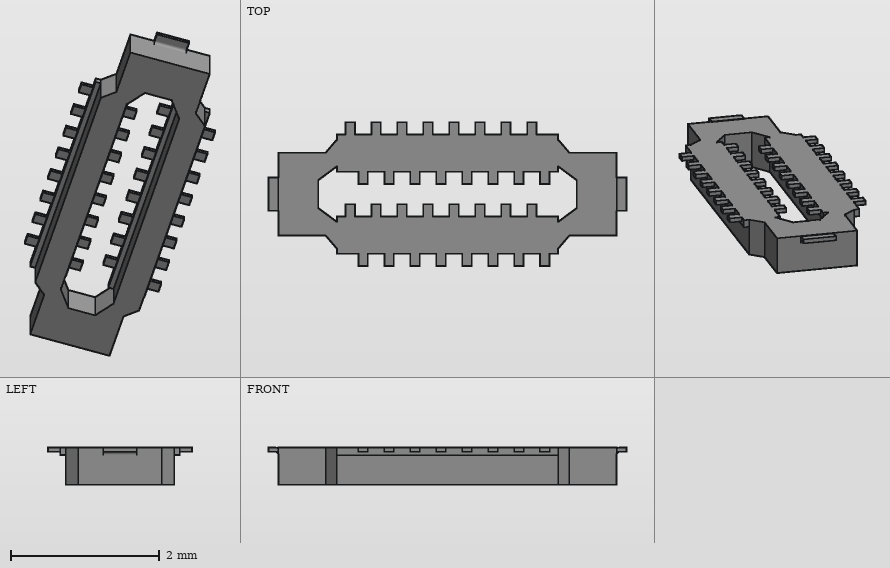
import cadquery as cq
import math

length = 4.83
width = 1.94
height = 0.5

body_half_x = 2.28
end_half_y = 0.56
shoulder_start_x = 1.64
middle_half_x = 1.492
middle_half_y = 0.735

opening_half_x = 1.74
opening_end_half_y = 0.19
opening_half_y = 0.37

strip_overhang = 0.072
strip_thickness = 0.1
strip_inner_y = opening_half_y - strip_overhang
strip_outer_y = middle_half_y + strip_overhang

pins_per_row = 8
pin_row_span = 2.45
pin_pitch = pin_row_span / (pins_per_row - 1)
pin_width = 0.13
pin_thickness = 0.06
pin_reach = width / 2 - strip_outer_y
row_offset = pin_pitch / 4

tab_half_width = 0.225
tab_thickness = 0.06
tab_inner_radius = 0.04
tab_outer_radius = tab_inner_radius + tab_thickness
tab_bend_x = body_half_x + tab_inner_radius
tab_bend_z = height - tab_outer_radius


def symmetric_prism(corner):
    """Full-height prism whose outline mirrors the +X +Y corner points about both axes."""
    upper = corner + [(-x, y) for x, y in reversed(corner)]
    outline = upper + [(x, -y) for x, y in reversed(upper)]
    return cq.Workplane("XY").polyline(outline).close().extrude(height)


def top_plate(x_center, y_center, size_x, size_y, thickness):
    """Rectangular plate with its upper side flush with the top face."""
    plate = cq.Workplane("XY").box(size_x, size_y, thickness)
    return plate.translate((x_center, y_center, height - thickness / 2))


def make_housing():
    outside = symmetric_prism([
        (body_half_x, end_half_y),
        (shoulder_start_x, end_half_y),
        (middle_half_x, middle_half_y),
    ])
    opening = symmetric_prism([
        (opening_half_x, opening_end_half_y),
        (middle_half_x, opening_half_y),
    ])
    return outside.cut(opening)


def add_pin_row(strip, edge_y, direction):
    """Add pins that point along +Y (direction = 1) or -Y (direction = -1) from a strip edge."""
    first_x = -direction * row_offset - pin_row_span / 2
    pin_y = edge_y + direction * pin_reach / 2
    for i in range(pins_per_row):
        pin_x = first_x + i * pin_pitch
        strip = strip.union(top_plate(pin_x, pin_y, pin_width, pin_reach, pin_thickness))
    return strip


def make_strip(side):
    """Strip with its pins on the +Y (side = 1) or -Y (side = -1) wall."""
    center_y = side * (strip_inner_y + strip_outer_y) / 2
    strip_width = strip_outer_y - strip_inner_y
    strip = top_plate(0, center_y, 2 * middle_half_x, strip_width, strip_thickness)
    for direction in (1, -1):
        strip = add_pin_row(strip, center_y + direction * strip_width / 2, direction)
    return strip


def bend_point(radius, x):
    """XZ point at the given x on the upper half of a bend arc."""
    return x, tab_bend_z + math.sqrt(radius**2 - (tab_bend_x - x)**2)


def make_tab():
    """Solder tab on the +X end face, drawn as an XZ profile and extruded across its width."""
    tip_x = length / 2
    bend_middle_x = (body_half_x + tab_bend_x) / 2
    profile = (
        cq.Workplane("XZ")
        .moveTo(tip_x, height - tab_thickness)
        .lineTo(tip_x, height)
        .lineTo(tab_bend_x, height)
        .threePointArc(
            bend_point(tab_outer_radius, bend_middle_x),
            bend_point(tab_outer_radius, body_half_x),
        )
        .lineTo(body_half_x, tab_bend_z)
        .threePointArc(
            bend_point(tab_inner_radius, bend_middle_x),
            (tab_bend_x, height - tab_thickness),
        )
        .close()
    )
    return profile.extrude(tab_half_width, both=True)


result = make_housing()
for wall_side in (1, -1):
    result = result.union(make_strip(wall_side))
tab = make_tab()
result = result.union(tab).union(tab.mirror("YZ"))